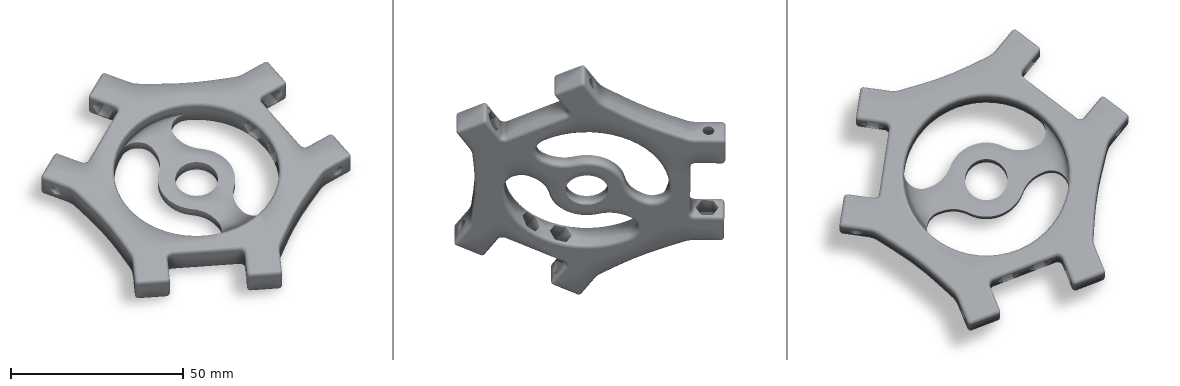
import cadquery as cq
import math

THICKNESS = 8.0
EDGE_FILLET = 1.0
MID_HEIGHT = THICKNESS / 2

PAIR_SPACING = 120
PAIR_ANGLES = (0, PAIR_SPACING, 2 * PAIR_SPACING)
ARM_TIP = 40.0
ARM_INNER = 11.25
ARM_OUTER = 21.4
NOTCH_FLOOR = 30.0
NOTCH_CORNER_RADIUS = 1.5

SIDE_DEPTH = 32.5
SIDE_RADIUS = 87.0
SIDE_HALF_CHORD = 7.75
SIDE_CORNER_RADIUS = 7.0
SIDE_DIRECTION = PAIR_SPACING / 2

BORE_RADIUS = 24.0
BRIDGE_THICKNESS = 3.5
BRIDGE_HALF_WIDTH = 4.0
HUB_HOLE_RADIUS = 12.4 / 2
HUB_RADIUS = HUB_HOLE_RADIUS + 5.0
HUB_BLEND_RADIUS = 10.0
WINDOW_END_RADIUS = 5.0

SCREW_DIAMETER = 3.4
SCREW_DISTANCE = 35.0
NUT_ACROSS_FLATS = 5.8
NUT_ACROSS_CORNERS = NUT_ACROSS_FLATS / math.cos(math.radians(30))
ARM_NUT_DEPTH = 5.0
WALL_NUT_OFFSET = 5.0
WALL_NUT_START = (HUB_RADIUS + BORE_RADIUS) / 2


def rotated(point, degrees):
    """Turn a plan point counterclockwise about the origin."""
    angle = math.radians(degrees)
    x, y = point
    return (
        x * math.cos(angle) - y * math.sin(angle),
        x * math.sin(angle) + y * math.cos(angle),
    )


def side_points():
    """One side's plan points: corner, arc start, middle and end, corner.

    At each corner a straight stretch, tangent to the arc, meets an arm.

    The side lies between the +Y pair and the next pair counterclockwise. Points are first placed
    in a frame whose +Y axis is the outward direction of that side.
    """
    slope_angle = math.asin(SIDE_HALF_CHORD / SIDE_RADIUS)
    arc_end_y = SIDE_DEPTH + SIDE_RADIUS * (1 - math.cos(slope_angle))
    slope = math.tan(slope_angle)

    face_angle = math.radians(90 - SIDE_DIRECTION)
    face_slope = math.tan(face_angle)
    face_start = ARM_OUTER / math.cos(face_angle)
    corner_x = (arc_end_y - slope * SIDE_HALF_CHORD - face_start) / (face_slope - slope)
    corner_y = face_start + face_slope * corner_x

    local = [
        (corner_x, corner_y),
        (SIDE_HALF_CHORD, arc_end_y),
        (0, SIDE_DEPTH),
        (-SIDE_HALF_CHORD, arc_end_y),
        (-corner_x, corner_y),
    ]
    return [rotated(point, SIDE_DIRECTION) for point in local]


def vertical_edge(point):
    """Select the vertical edge that stands on a plan point."""
    return cq.selectors.NearestToPointSelector((*point, MID_HEIGHT))


def fillet_corners(body, corners, radius):
    """Round the vertical edges on these corners of the +Y pair, and their copies on the other pairs."""
    for corner in corners:
        for angle in PAIR_ANGLES:
            edge = vertical_edge(rotated(corner, angle))
            body = body.edges("|Z").edges(edge).fillet(radius)
    return body


def make_plate():
    """The six-armed plate, solid in the middle, with its corners rounded in plan."""
    pair = [
        (ARM_OUTER, ARM_TIP),
        (ARM_INNER, ARM_TIP),
        (ARM_INNER, NOTCH_FLOOR),
        (-ARM_INNER, NOTCH_FLOOR),
        (-ARM_INNER, ARM_TIP),
        (-ARM_OUTER, ARM_TIP),
    ]
    side = side_points()

    outline = cq.Workplane("XY").moveTo(*pair[0])
    for angle in PAIR_ANGLES:
        for point in pair[1:]:
            outline = outline.lineTo(*rotated(point, angle))
        corner, arc_start, arc_middle, arc_end, next_corner = [rotated(p, angle) for p in side]
        outline = outline.lineTo(*corner).lineTo(*arc_start)
        outline = outline.threePointArc(arc_middle, arc_end).lineTo(*next_corner)
        if angle != PAIR_ANGLES[-1]:
            outline = outline.lineTo(*rotated(pair[0], angle + PAIR_SPACING))
    body = outline.close().extrude(THICKNESS)

    tips = [pair[0], pair[1], pair[4], pair[5]]
    body = fillet_corners(body, [pair[2], pair[3]], NOTCH_CORNER_RADIUS)
    body = fillet_corners(body, [side[0], side[4]], SIDE_CORNER_RADIUS)
    body = fillet_corners(body, tips, EDGE_FILLET)
    return body


def make_window():
    """One of the two openings beside the bridge: its inner edge follows the hub, its outer edge the bore."""
    blend_y = BRIDGE_HALF_WIDTH + HUB_BLEND_RADIUS
    blend_x = math.sqrt((HUB_RADIUS + HUB_BLEND_RADIUS) ** 2 - blend_y**2)
    hub_share = HUB_RADIUS / (HUB_RADIUS + HUB_BLEND_RADIUS)
    hub_x = blend_x * hub_share
    hub_y = blend_y * hub_share
    blend_turn = math.atan2(blend_x, blend_y) / 2
    blend_mid_x = blend_x - HUB_BLEND_RADIUS * math.sin(blend_turn)
    blend_mid_y = blend_y - HUB_BLEND_RADIUS * math.cos(blend_turn)

    end_y = BRIDGE_HALF_WIDTH + WINDOW_END_RADIUS
    end_centre_distance = BORE_RADIUS - WINDOW_END_RADIUS
    end_x = math.sqrt(end_centre_distance**2 - end_y**2)
    bore_x = end_x * BORE_RADIUS / end_centre_distance
    bore_y = end_y * BORE_RADIUS / end_centre_distance
    end_turn = (math.atan2(end_y, end_x) - math.pi / 2) / 2
    end_mid_x = end_x + WINDOW_END_RADIUS * math.cos(end_turn)
    end_mid_y = end_y + WINDOW_END_RADIUS * math.sin(end_turn)

    return (
        cq.Workplane("XY")
        .moveTo(-hub_x, hub_y)
        .threePointArc((0, HUB_RADIUS), (hub_x, hub_y))
        .threePointArc((blend_mid_x, blend_mid_y), (blend_x, BRIDGE_HALF_WIDTH))
        .lineTo(end_x, BRIDGE_HALF_WIDTH)
        .threePointArc((end_mid_x, end_mid_y), (bore_x, bore_y))
        .threePointArc((0, BORE_RADIUS), (-bore_x, bore_y))
        .threePointArc((-end_mid_x, end_mid_y), (-end_x, BRIDGE_HALF_WIDTH))
        .lineTo(-blend_x, BRIDGE_HALF_WIDTH)
        .threePointArc((-blend_mid_x, blend_mid_y), (-hub_x, hub_y))
        .close()
        .extrude(BRIDGE_THICKNESS)
    )


def arm_cutter():
    """Screw hole through both arms of the +Y pair, with a nut pocket in each inner face."""
    centre = (SCREW_DISTANCE, MID_HEIGHT)
    hole = cq.Workplane("YZ").center(*centre).circle(SCREW_DIAMETER / 2).extrude(ARM_OUTER, both=True)
    nut_reach = ARM_INNER + ARM_NUT_DEPTH
    nuts = cq.Workplane("YZ").center(*centre).polygon(6, NUT_ACROSS_CORNERS).extrude(nut_reach, both=True)
    return hole.union(nuts)


def wall_nut_cutter():
    """Two hexagonal openings from the bore to the notch floor of the +Y pair."""
    return (
        cq.Workplane("XZ", origin=(0, WALL_NUT_START, MID_HEIGHT))
        .pushPoints([(-WALL_NUT_OFFSET, 0), (WALL_NUT_OFFSET, 0)])
        .polygon(6, NUT_ACROSS_CORNERS)
        .extrude(WALL_NUT_START - NOTCH_FLOOR)
    )


def make_body():
    """The plate opened by the bore, the windows and the hub hole, with its edges rounded."""
    bore = cq.Workplane("XY", origin=(0, 0, BRIDGE_THICKNESS)).circle(BORE_RADIUS).extrude(THICKNESS)
    window = make_window()
    body = make_plate().cut(bore).cut(window).cut(window.mirror("XZ"))
    body = body.faces("<Z or >Z").edges().fillet(EDGE_FILLET)

    hub_hole = cq.Workplane("XY").circle(HUB_HOLE_RADIUS).extrude(THICKNESS)
    return body.cut(hub_hole)


result = make_body()
for pair_angle in PAIR_ANGLES:
    result = result.cut(arm_cutter().rotate((0, 0, 0), (0, 0, 1), pair_angle))
result = result.cut(wall_nut_cutter())